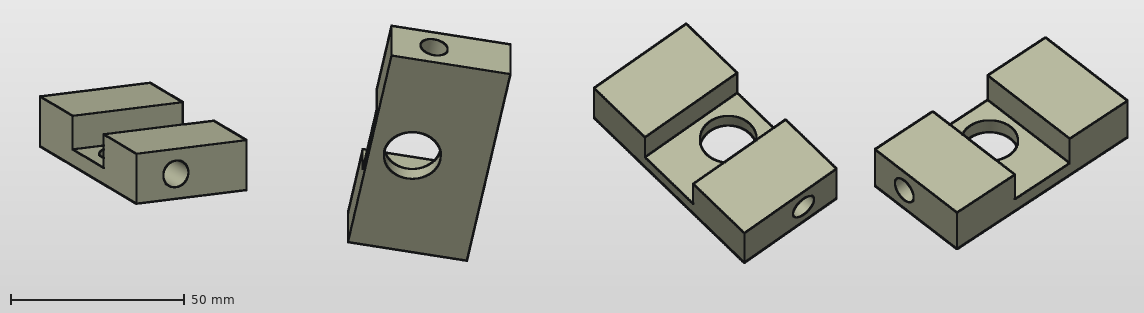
import cadquery as cq
import math

length = 67.0
width = 35.0
height = 15.0

channel_width = 21.5
floor_thickness = 4.95

hole_setback = 12.5
hole_y = hole_setback - width / 2
bore_diameter = 16.4

drill_diameter = 8.0
drill_depth = 15.0
drill_point_angle = 118.0


def drilled_hole():
    """Cutter along +X from the origin: a cylinder ending in a drill point."""
    radius = drill_diameter / 2
    point_length = radius / math.tan(math.radians(drill_point_angle / 2))
    return (
        cq.Workplane("XY")
        .polyline([
            (0, 0),
            (0, radius),
            (drill_depth, radius),
            (drill_depth + point_length, 0),
        ])
        .close()
        .revolve(360, (0, 0, 0), (1, 0, 0))
    )


block = cq.Workplane("XY").box(length, width, height, centered=(True, True, False))

channel = (
    cq.Workplane("XY")
    .workplane(offset=floor_thickness)
    .rect(channel_width, width)
    .extrude(height - floor_thickness)
)

bore = cq.Workplane("XY").center(0, hole_y).circle(bore_diameter / 2).extrude(height)

left_hole = drilled_hole().translate((-length / 2, hole_y, height / 2))
right_hole = left_hole.mirror("YZ")

result = block.cut(channel).cut(bore).cut(left_hole).cut(right_hole)